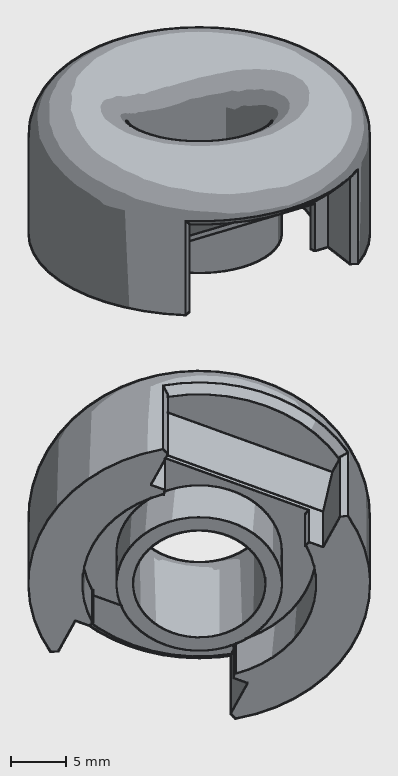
import cadquery as cq
import math

body_radius = 15.5
body_height = 14.75
bore_radius = 12.0 / 2
rim_radius = (body_radius - bore_radius) / 2
shoulder_height = body_height - rim_radius

tube_radius = 15.0 / 2
cavity_radius = 10.6
cavity_height = 4.9

pocket_width = 17.1
pocket_height = 9.0
ceiling_foot_height = 5.45
pocket_back = 8.37
ceiling_tilt = 30.0
pocket_outer_end = body_radius + 0.3
mouth_chamfer = 0.78

slot_width = 14.32
slot_inner_width = 14.0
slot_inner_end = 7.8


def make_body():
    profile = (
        cq.Workplane("XZ")
        .moveTo(bore_radius, 0)
        .lineTo(body_radius, 0)
        .lineTo(body_radius, shoulder_height)
        .threePointArc(
            (bore_radius + rim_radius, body_height),
            (bore_radius, shoulder_height),
        )
        .close()
    )
    return profile.revolve(360, (0, 0, 0), (0, 1, 0))


def make_pocket():
    """Pocket on the -X side, with a ceiling that slopes down to its back wall."""
    ramp_drop = pocket_height - ceiling_foot_height
    ramp_start = pocket_back + ramp_drop * math.tan(math.radians(ceiling_tilt))
    return (
        cq.Workplane("XZ")
        .polyline([
            (-pocket_outer_end, 0),
            (-pocket_outer_end, pocket_height),
            (-ramp_start, pocket_height),
            (-pocket_back, ceiling_foot_height),
            (-pocket_back, 0),
        ])
        .close()
        .extrude(pocket_width / 2, both=True)
    )


def make_slot():
    """Slot on the -X side, tapering in plan and opening into the hollow ring."""
    return (
        cq.Workplane("XY")
        .polyline([
            (-pocket_back, -slot_width / 2),
            (-slot_inner_end, -slot_inner_width / 2),
            (-slot_inner_end, slot_inner_width / 2),
            (-pocket_back, slot_width / 2),
        ])
        .close()
        .extrude(cavity_height)
    )


def make_ring_cavity():
    """Ring hollow, cut flat so that it stays between the two pocket back walls."""
    ring = cq.Workplane("XY").circle(cavity_radius).circle(tube_radius).extrude(cavity_height)
    between_walls = cq.Workplane("XY").box(
        2 * slot_inner_end, 2 * cavity_radius, cavity_height, centered=(True, True, False)
    )
    return ring.intersect(between_walls)


def on_both_sides(shape):
    return shape.union(shape.rotate((0, 0, 0), (0, 0, 1), 180))


mouth_half_width = pocket_width / 2
jamb_distance = math.sqrt(body_radius**2 - mouth_half_width**2)
mouth_tolerance = 0.03


def on_mouth(edge):
    center = edge.Center()
    is_jamb = edge.geomType() == "LINE" and abs(abs(center.x) - jamb_distance) < mouth_tolerance
    is_lintel = edge.geomType() == "CIRCLE" and abs(center.z - pocket_height) < mouth_tolerance
    return is_jamb or is_lintel


body = make_body().cut(on_both_sides(make_pocket()))
mouth_edges = body.edges().filter(on_mouth)
body = mouth_edges.chamfer(mouth_chamfer)

result = body.cut(make_ring_cavity()).cut(on_both_sides(make_slot()))